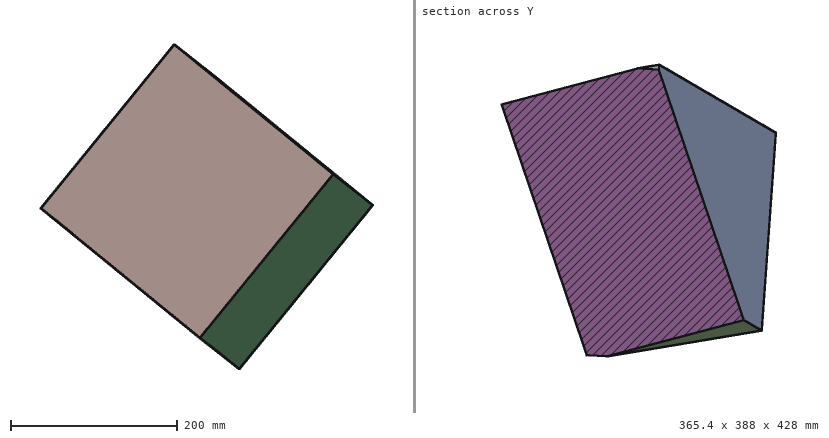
import cadquery as cq
import math

overall_height = 428.0
roll = 44.0
pitch = 22.0
yaw = 8.0

roll_angle = math.radians(roll)
pitch_angle = math.radians(pitch)
edge_rises = (
    math.sin(pitch_angle),
    math.cos(pitch_angle) * math.sin(roll_angle),
    math.cos(pitch_angle) * math.cos(roll_angle),
)
side = overall_height / sum(edge_rises)

result = (
    cq.Workplane("XY")
    .box(side, side, side)
    .rotate((0, 0, 0), (1, 0, 0), roll)
    .rotate((0, 0, 0), (0, 1, 0), pitch)
    .rotate((0, 0, 0), (0, 0, 1), yaw)
)